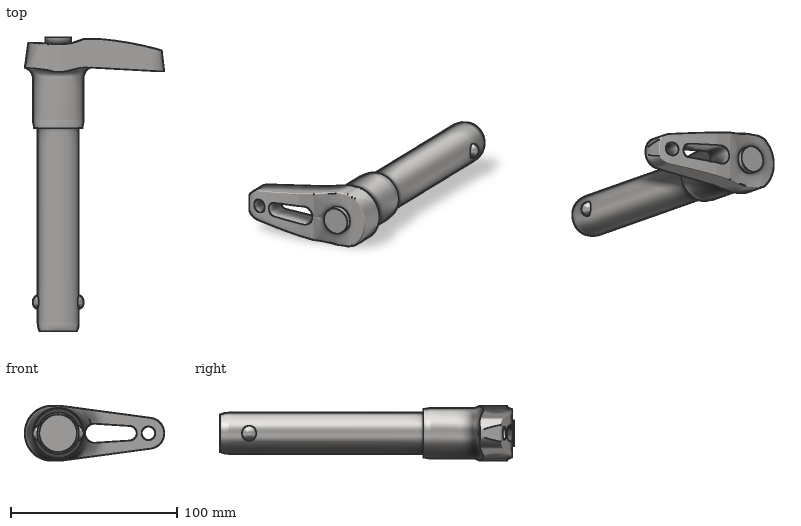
import cadquery as cq
import math


shaft_radius = 12.5
shaft_length = 122.1
tip_length = 5.4
tip_radius = 11.3

ball_radius = 4.6
ball_reach = 15.4
ball_y = -104.6

collar_radius = 14.85
collar_height = 1.7
sleeve_radius = 15.3
sleeve_round_top = 4.9
sleeve_top = 30.0
flare_radius = 6.55

hub_radius = 16.65
heel_center_x = -3.5
hub_flat_start_x = -6.0
hub_flat_end_x = -2.5
toe_radius = 9.4
toe_center_x = 54.4

slot_near_x = 21.8
slot_near_radius = 5.65
slot_far_x = 42.85
slot_far_radius = 4.3
hole_x = 54.25
hole_radius = 4.0

underside_at_axis = 37.45
underside_flat_x = 61.4
underside_flat_y = 34.1
heel_top_y = 51.5
saddle_rise = (7.5, 51.0)
saddle_low = (0.0, 50.4)
saddle_heel = (-9.0, 51.2)
ridge_x = 15.3
ridge_y = 53.7
ridge_end_x = 25.0
top_end_y = 46.8
top_bulge = 0.8
heel_taper = 2.1
toe_taper = 1.5
heel_face_radius = 19.2
top_edge_round = 0.6
top_edges_above_y = 45.0

button_radius = 7.85
button_top = 54.7

neck_overlap = 3.0
tall = 80.0

heel_x = heel_center_x - hub_radius
toe_x = toe_center_x + toe_radius
flare_top = sleeve_top + flare_radius
underside_slope = (underside_at_axis - underside_flat_y) / underside_flat_x


def plan_solid(sketch):
    """Extrude an outline in the XZ plane toward +Y, past the whole handle."""
    return sketch.extrude(-tall)


def hull_outline(near_x, near_radius, far_x, far_radius):
    """Outline around two circles on the X axis, joined by tangent lines."""
    lean = math.asin((near_radius - far_radius) / (far_x - near_x))
    near = (near_x + near_radius * math.sin(lean), near_radius * math.cos(lean))
    far = (far_x + far_radius * math.sin(lean), far_radius * math.cos(lean))
    return (
        cq.Workplane("XZ")
        .moveTo(*near)
        .lineTo(*far)
        .threePointArc((far_x + far_radius, 0), (far[0], -far[1]))
        .lineTo(near[0], -near[1])
        .threePointArc((near_x - near_radius, 0), near)
        .close()
    )


def handle_plan():
    """Round hub with short side flats and a tapered arm ending in a round toe."""
    lean = math.asin((hub_radius - toe_radius) / toe_center_x)
    hub_tangent = (hub_radius * math.sin(lean), hub_radius * math.cos(lean))
    toe_tangent = (toe_center_x + toe_radius * math.sin(lean), toe_radius * math.cos(lean))
    flat_z = math.sqrt(hub_radius**2 - hub_flat_end_x**2)
    return plan_solid(
        cq.Workplane("XZ")
        .moveTo(hub_flat_start_x, flat_z)
        .lineTo(hub_flat_end_x, flat_z)
        .threePointArc((0, hub_radius), hub_tangent)
        .lineTo(*toe_tangent)
        .threePointArc((toe_x, 0), (toe_tangent[0], -toe_tangent[1]))
        .lineTo(hub_tangent[0], -hub_tangent[1])
        .threePointArc((0, -hub_radius), (hub_flat_end_x, -flat_z))
        .lineTo(hub_flat_start_x, -flat_z)
        .threePointArc((heel_x, 0), (hub_flat_start_x, flat_z))
        .close()
    )


def handle_profile():
    """Side profile of the handle, extruded across its full width."""
    ridge_mid = ((ridge_end_x + toe_x) / 2, (ridge_y + top_end_y) / 2 + top_bulge)
    return (
        cq.Workplane("XY")
        .moveTo(heel_x, underside_at_axis - heel_x * underside_slope)
        .lineTo(underside_flat_x, underside_flat_y)
        .lineTo(toe_x, underside_flat_y)
        .lineTo(toe_x - toe_taper, top_end_y)
        .threePointArc(ridge_mid, (ridge_end_x, ridge_y))
        .lineTo(ridge_x, ridge_y)
        .spline([saddle_rise, saddle_low, saddle_heel], includeCurrent=True)
        .lineTo(heel_x + heel_taper, heel_top_y)
        .close()
        .extrude(tall, both=True)
    )


def heel_trim():
    """Leaning U-shaped prism whose round end shapes the heel face."""
    lean = math.degrees(math.atan2(heel_taper, heel_top_y - flare_top))
    return (
        cq.Workplane("XZ")
        .moveTo(tall, heel_face_radius)
        .lineTo(heel_x + heel_face_radius, heel_face_radius)
        .threePointArc((heel_x, 0), (heel_x + heel_face_radius, -heel_face_radius))
        .lineTo(tall, -heel_face_radius)
        .close()
        .extrude(tall, both=True)
        .translate((0, -flare_top, 0))
        .rotate((heel_x, 0, 0), (heel_x, 0, 1), -lean)
        .translate((0, flare_top, 0))
    )


def handle():
    """Trimmed handle with its top edges rounded."""
    body = handle_profile().intersect(handle_plan()).intersect(heel_trim())
    above_sides = cq.selectors.BoxSelector(
        (-tall, top_edges_above_y, -tall), (tall, tall, tall), boundingbox=True
    )
    return body.edges(above_sides).fillet(top_edge_round)


def flare():
    """Concave neck that widens from the sleeve into the handle."""
    outer_radius = sleeve_radius + flare_radius
    arc_mid = flare_radius * math.sqrt(0.5)
    neck = (
        cq.Workplane("XY")
        .moveTo(0, sleeve_top)
        .lineTo(sleeve_radius, sleeve_top)
        .threePointArc((outer_radius - arc_mid, sleeve_top + arc_mid), (outer_radius, flare_top))
        .lineTo(outer_radius, flare_top + neck_overlap)
        .lineTo(0, flare_top + neck_overlap)
        .close()
        .revolve(360, (0, 0, 0), (0, 1, 0))
    )
    return neck.intersect(handle_plan()).intersect(heel_trim())


def round_midpoint(full_radius, end_radius, start_y, end_y):
    """Middle of an arc that leaves a cylinder tangentially and narrows it downward."""
    length = start_y - end_y
    drop = full_radius - end_radius
    curve_radius = (length**2 + drop**2) / (2 * drop)
    half_angle = math.asin(length / curve_radius) / 2
    return (
        full_radius - curve_radius * (1 - math.cos(half_angle)),
        start_y - curve_radius * math.sin(half_angle),
    )


def pin():
    """Shaft with a rounded tip, collar and sleeve as one turned body."""
    tip_y = -shaft_length
    tip_round_y = tip_y + tip_length
    return (
        cq.Workplane("XY")
        .moveTo(0, tip_y)
        .lineTo(tip_radius, tip_y)
        .threePointArc(
            round_midpoint(shaft_radius, tip_radius, tip_round_y, tip_y),
            (shaft_radius, tip_round_y),
        )
        .lineTo(shaft_radius, 0)
        .lineTo(collar_radius, 0)
        .lineTo(collar_radius, collar_height)
        .threePointArc(
            round_midpoint(sleeve_radius, collar_radius, sleeve_round_top, collar_height),
            (sleeve_radius, sleeve_round_top),
        )
        .lineTo(sleeve_radius, sleeve_top)
        .lineTo(0, sleeve_top)
        .close()
        .revolve(360, (0, 0, 0), (0, 1, 0))
    )


def balls():
    """Two locking balls that stand out on opposite sides of the shaft."""
    center_x = ball_reach - ball_radius
    ball = cq.Workplane("XY").sphere(ball_radius)
    return ball.translate((center_x, ball_y, 0)).union(ball.translate((-center_x, ball_y, 0)))


def button():
    """Release button on the pin axis, standing above the handle."""
    return (
        cq.Workplane("XZ", origin=(0, flare_top, 0))
        .circle(button_radius)
        .extrude(flare_top - button_top)
    )


def openings():
    """Tapered slot and round lanyard hole through the arm."""
    slot = plan_solid(hull_outline(slot_near_x, slot_near_radius, slot_far_x, slot_far_radius))
    hole = plan_solid(cq.Workplane("XZ").center(hole_x, 0).circle(hole_radius))
    return slot.union(hole)


grip = handle().union(flare()).cut(openings())
result = pin().union(grip).union(button()).union(balls())